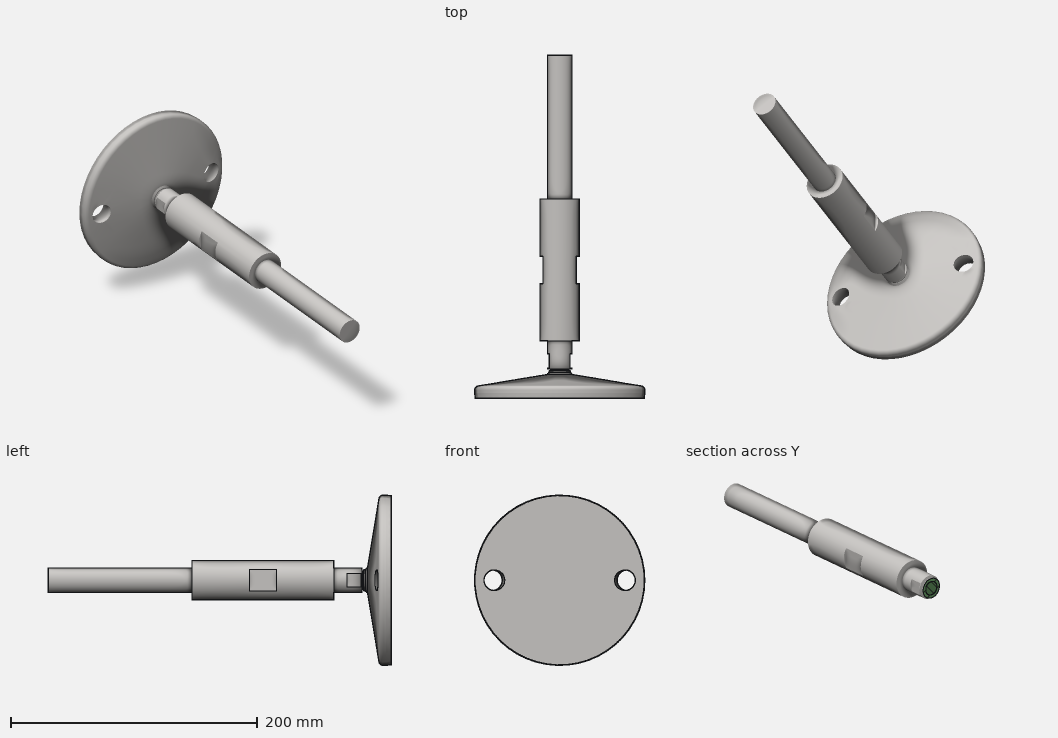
import cadquery as cq
import math

total_length = 278.0

full_turn = 360.0

foot_radius = 69.0
rim_bottom_radius = 68.5
rim_taper_height = 4.0
rim_round_radius = 3.5
cone_angle = 9.4
cone_top_radius = 10.3
cone_top_height = 19.4
collar_radius = 9.0
collar_height = 20.9

bead_section_radius = 0.8
bead_outer_radius = 8.7

hole_diameter = 16.5
hole_offset = 52.8

spindle_radius = 10.0
spindle_bottom = 24.0
neck_radius = 5.5
underside_radius = 7.0
underside_height = 0.5
spindle_flat_width = 17.0
spindle_flat_bottom = 24.6
spindle_flat_top = 36.0

sleeve_radius = 16.0
sleeve_length = 115.0
sleeve_bottom = 46.5
sleeve_flat_width = 27.0
sleeve_flat_length = 22.0


def turned(profile):
    """Solid of revolution about the Y axis from a closed profile of radius and height."""
    return profile.close().revolve(full_turn, (0, 0, 0), (0, 1, 0))


def wrench_flats(stock_radius, width, bottom, top):
    """Cutter for two parallel flats that face -X and +X."""
    return (
        cq.Workplane("XY")
        .rect(4 * stock_radius, 4 * stock_radius)
        .rect(width, 4 * stock_radius)
        .extrude(top - bottom)
        .rotate((0, 0, 0), (1, 0, 0), -90)
        .translate((0, bottom, 0))
    )


def make_foot():
    slope = math.radians(cone_angle)
    round_centre_radius = foot_radius - rim_round_radius
    round_top_radius = round_centre_radius + rim_round_radius * math.sin(slope)
    round_top_height = cone_top_height - (round_top_radius - cone_top_radius) * math.tan(slope)
    round_centre_height = round_top_height - rim_round_radius * math.cos(slope)
    round_middle = (math.pi / 2 - slope) / 2
    body = turned(
        cq.Workplane("XY")
        .lineTo(rim_bottom_radius, 0)
        .lineTo(foot_radius, rim_taper_height)
        .lineTo(foot_radius, round_centre_height)
        .threePointArc(
            (
                round_centre_radius + rim_round_radius * math.cos(round_middle),
                round_centre_height + rim_round_radius * math.sin(round_middle),
            ),
            (round_top_radius, round_top_height),
        )
        .lineTo(cone_top_radius, cone_top_height)
        .lineTo(collar_radius, collar_height)
        .lineTo(0, collar_height)
    )
    return body.union(make_bead()).cut(fixing_holes())


def make_bead():
    bead_centre_radius = bead_outer_radius - bead_section_radius
    return turned(
        cq.Workplane("XY")
        .moveTo(neck_radius, collar_height)
        .lineTo(bead_centre_radius, collar_height)
        .threePointArc(
            (bead_outer_radius, collar_height + bead_section_radius),
            (bead_centre_radius, collar_height + 2 * bead_section_radius),
        )
        .lineTo(neck_radius, collar_height + 2 * bead_section_radius)
    )


def fixing_holes():
    slope = math.radians(cone_angle)
    cutters = cq.Workplane("XY")
    for side in (-1, 1):
        axis = cq.Vector(side * math.sin(slope), math.cos(slope), 0)
        start = cq.Vector(side * hole_offset, 0, 0) - axis * hole_diameter
        cutters = cutters.add(cq.Solid.makeCylinder(hole_diameter / 2, 3 * hole_diameter, start, axis))
    return cutters.combine()


def make_spindle():
    underside = spindle_bottom - underside_height
    body = turned(
        cq.Workplane("XY")
        .moveTo(0, collar_height)
        .lineTo(neck_radius, collar_height)
        .lineTo(neck_radius, underside)
        .lineTo(underside_radius, underside)
        .lineTo(spindle_radius, spindle_bottom)
        .lineTo(spindle_radius, total_length)
        .lineTo(0, total_length)
    )
    return body.cut(wrench_flats(spindle_radius, spindle_flat_width, spindle_flat_bottom, spindle_flat_top))


def make_sleeve():
    middle = sleeve_bottom + sleeve_length / 2
    body = turned(
        cq.Workplane("XY")
        .moveTo(spindle_radius, sleeve_bottom)
        .lineTo(sleeve_radius, sleeve_bottom)
        .lineTo(sleeve_radius, sleeve_bottom + sleeve_length)
        .lineTo(spindle_radius, sleeve_bottom + sleeve_length)
    )
    half_flat = sleeve_flat_length / 2
    return body.cut(wrench_flats(sleeve_radius, sleeve_flat_width, middle - half_flat, middle + half_flat))


foot = make_foot().solids()
spindle = make_spindle().solids()
sleeve = make_sleeve().solids()
result = cq.Compound.makeCompound([foot.val(), spindle.val(), sleeve.val()])